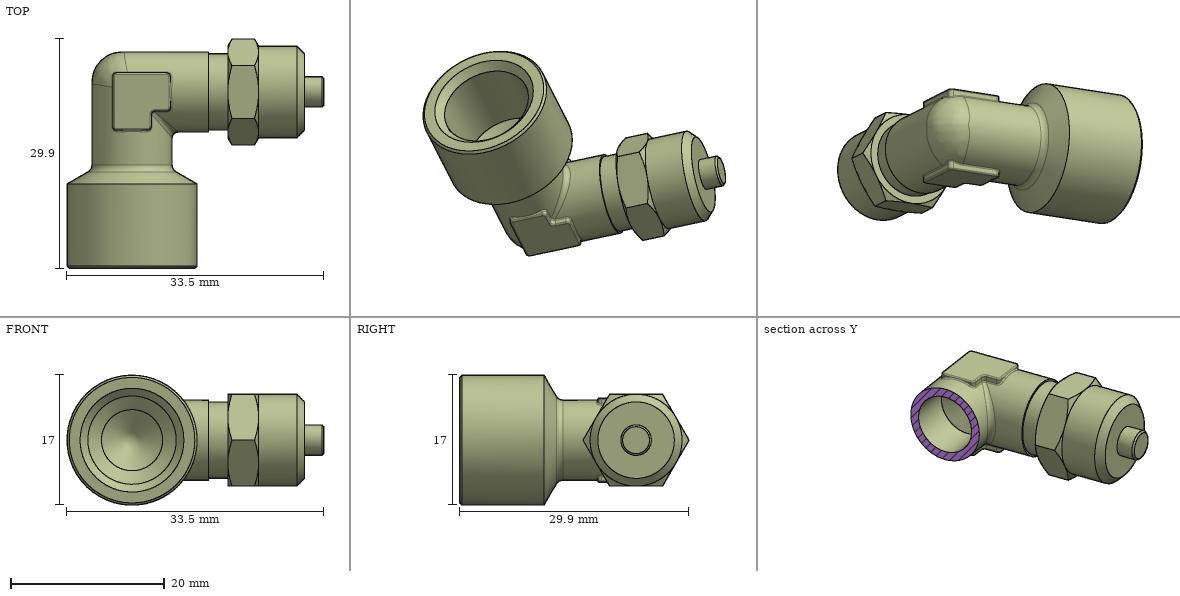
import cadquery as cq
import math


overall_length = 33.5

socket_d = 17.0
socket_face = 23.0
socket_shoulder = 12.0
socket_start = 6.35
socket_chamfer = 0.3
cone_half_angle = math.radians(60)
root_fillet = 1.0
bore_d = 11.52
bore_chamfer = 1.0
passage_d = 7.97

elbow_d = 10.5
elbow_r = elbow_d / 2
elbow_end = 9.98
outer_corner_fillet = 4.0
inner_corner_fillet = 0.75
rounded_half_height = 4.85

neck_d = 9.98
nut_start = 12.5
nut_end = 16.5
nut_flats = 12.0
nut_chamfer_angle = math.radians(30)
collar_d = nut_flats
collar_end = 22.5
collar_chamfer = 1.0
hose_d = 4.0
hose_end = overall_length - socket_d / 2
hose_chamfer = 0.25

pad_near = 2.5
pad_far = 5.0
pad_height = 5.5
pad_base = 3.7
pad_corner_r = 0.5
pad_edge_r = 0.2
pad_root_r = 0.2
foot_margin = 0.1


def turned_along_x(outline):
    """Revolve an (x, radius) outline about the X axis."""
    return cq.Workplane("XY").polyline(outline).close().revolve(360, (0, 0, 0), (1, 0, 0))


def turned_along_y(outline):
    """Revolve a (radius, y) outline about the Y axis."""
    return cq.Workplane("XY").polyline(outline).close().revolve(360, (0, 0, 0), (0, 1, 0))


def sharp_elbow():
    """Two round legs that meet in a mitre."""
    path = cq.Workplane("XY").polyline([(elbow_end, 0), (0, 0), (0, -socket_shoulder)])
    start = cq.Workplane("YZ", origin=(elbow_end, 0, 0))
    return start.circle(elbow_r).sweep(path, transition="right")


def elbow():
    """Round the mitre edges beside the pads; the caps under the pads stay sharp."""
    sharp = sharp_elbow()
    slab_width = 2 * (elbow_end + socket_shoulder)
    slab = cq.Workplane("XY").box(slab_width, slab_width, 2 * rounded_half_height)
    mitre_edges = sharp.intersect(slab).edges("%ELLIPSE")
    rounded = mitre_edges.edges("<X").fillet(outer_corner_fillet)
    rounded = rounded.edges("%ELLIPSE").edges(">X").fillet(inner_corner_fillet)
    return rounded.union(sharp.cut(slab))


def socket():
    """Socket body with the cone that runs into the elbow leg through a fillet."""
    radius = socket_d / 2
    cone_end = socket_shoulder - (radius - elbow_r) / math.tan(cone_half_angle)
    body = turned_along_y([
        (0, -socket_face),
        (radius - socket_chamfer, -socket_face),
        (radius, -socket_face + socket_chamfer),
        (radius, -socket_shoulder),
        (elbow_r, -cone_end),
        (elbow_r, -socket_start),
        (0, -socket_start),
    ])
    root = cq.selectors.NearestToPointSelector((0, -cone_end, 0))
    return body.edges(root).fillet(root_fillet)


def bore():
    """Chamfered bore as long as the straight socket wall, tapering to a narrower passage.

    The drill point of the passage ends on the axis of the hose leg.
    """
    bore_r = bore_d / 2
    passage_r = passage_d / 2
    bore_end = -socket_shoulder
    taper_end = bore_end + (bore_r - passage_r) / math.tan(cone_half_angle)
    return turned_along_y([
        (0, -socket_face),
        (bore_r + bore_chamfer, -socket_face),
        (bore_r, -socket_face + bore_chamfer),
        (bore_r, bore_end),
        (passage_r, taper_end),
        (passage_r, -passage_r / math.tan(cone_half_angle)),
        (0, 0),
    ])


def hose_connector():
    """Neck, collar and hose tail turned about the X axis."""
    neck_r = neck_d / 2
    collar_r = collar_d / 2
    hose_r = hose_d / 2
    collar_edge = collar_end - collar_chamfer
    return turned_along_x([
        (elbow_end, 0),
        (elbow_end, neck_r),
        (nut_end, neck_r),
        (nut_end, collar_r),
        (collar_edge, collar_r),
        (collar_end, collar_r - collar_chamfer),
        (collar_end, hose_r),
        (hose_end - hose_chamfer, hose_r),
        (hose_end, hose_r - hose_chamfer),
        (hose_end, 0),
    ])


def nut():
    """Hexagon with flats facing +Z and -Z, its corners bevelled on both ends."""
    corner_d = nut_flats / math.cos(math.radians(30))
    start = cq.Workplane("YZ", origin=(nut_start, 0, 0))
    hexagon = start.polygon(6, corner_d).extrude(nut_end - nut_start)
    bevel = (corner_d - nut_flats) / 2 * math.tan(nut_chamfer_angle)
    blank = turned_along_x([
        (nut_start, 0),
        (nut_start, nut_flats / 2),
        (nut_start + bevel, corner_d / 2),
        (nut_end - bevel, corner_d / 2),
        (nut_end, nut_flats / 2),
        (nut_end, 0),
    ])
    return hexagon.intersect(blank)


def upper_pad():
    """L-shaped pad with rounded corners and a rounded outer rim."""
    outline = [
        (-pad_near, pad_near),
        (pad_far, pad_near),
        (pad_far, -pad_near),
        (pad_near, -pad_near),
        (pad_near, -pad_far),
        (-pad_near, -pad_far),
    ]
    block = cq.Workplane("XY", origin=(0, 0, pad_base)).polyline(outline).close()
    block = block.extrude(pad_height - pad_base)
    return block.edges("|Z").fillet(pad_corner_r).faces(">Z").edges().fillet(pad_edge_r)


def padded_elbow():
    """Elbow with both pads, each blended into the legs by a small fillet around its foot."""
    pad = upper_pad()
    solid = elbow().union(pad).union(pad.mirror("XY"))
    foot_top = (elbow_r + pad_height - pad_edge_r) / 2
    for side in (1, -1):
        foot = cq.selectors.BoxSelector(
            (-pad_near - foot_margin, -pad_far - foot_margin, side * pad_base),
            (pad_far + foot_margin, pad_near + foot_margin, side * foot_top),
            boundingbox=True,
        )
        solid = solid.edges(foot).edges("not |Z").fillet(pad_root_r)
    return solid


result = padded_elbow().union(socket()).union(hose_connector()).union(nut()).cut(bore())